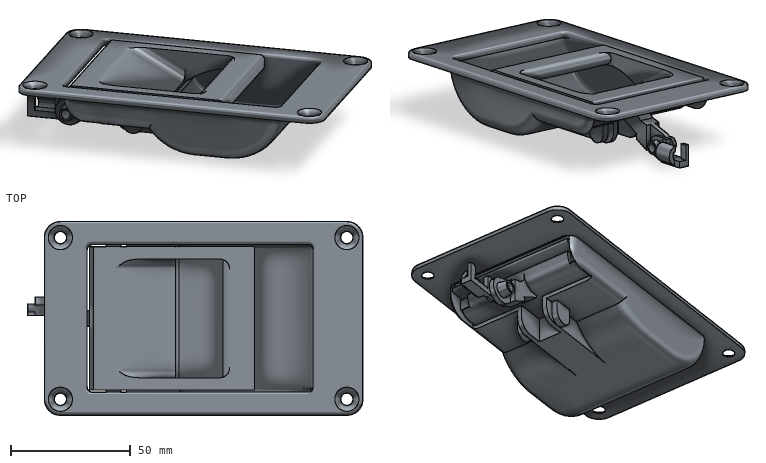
import cadquery as cq
import math


FLANGE_LENGTH = 133.2
FLANGE_WIDTH = 81.0
FLANGE_THICKNESS = 2.5
FLANGE_CORNER = 6.7
FLANGE_EDGE_ROUND = 1.3
SCREW_HOLE_RADIUS = 2.5
COUNTERSINK_RADIUS = SCREW_HOLE_RADIUS + FLANGE_THICKNESS
MOUTH_CORNER = 2.2

WALL = 2.0
PAN_LEFT = -48.7
PAN_HALF_WIDTH = 32.8
PAN_EDGE_ROUND = 4.9
CAVITY_EDGE_ROUND = 1.7
SHALLOW_DEPTH = 16.0
SHALLOW_CORNER = 10.0
DEEP_DEPTH = 25.7
DEEP_RADIUS = 25.0
DEEP_FLAT_START = 8.4
DEEP_FLAT_END = 22.7
CAVITY_HALF_WIDTH = PAN_HALF_WIDTH - WALL
CAVITY_RIGHT = DEEP_FLAT_END + DEEP_RADIUS - WALL
FLOOR_START = -32.3

BLOCK_HALF_WIDTH = 7.6
BLOCK_CORNER = 5.9
EAR_THICKNESS = 2.8
EAR_RADIUS = 4.3
EAR_CENTRE = -24.3
LEVER_SLOT_HALF_WIDTH = 5.5
LEVER_SLOT_END = EAR_CENTRE + EAR_RADIUS

TAB_LEFT = -40.8
TAB_RIGHT = -34.6
TAB_BOTTOM = -10.5
TAB_INNER = 26.6
TAB_CLEARANCE = 0.5

HANDLE_LEFT = -47.8
HANDLE_RIGHT = 21.3
HANDLE_HALF_WIDTH = 30.0
HANDLE_THICKNESS = 5.5
LIP_TOP = -3.8
LIP_LENGTH = 0.7
LIP_LOWER_ROUND = 1.1
GROOVE_RADIUS = 1.0
SHOULDER_RADIUS = 1.3
NOSE_RADIUS = HANDLE_THICKNESS / 2
HANDLE_EDGE_ROUND = 2.1
BELLY_LEFT = -42.4
BELLY_BOTTOM = -13.6
BELLY_RADIUS = 6.5
GRIP_HALF_WIDTH = 24.8
GRIP_LEFT = -35.3
GRIP_NOSE = 8.1
GRIP_CORNER = 4.2
RAMP_END = -11.8
RAMP_ANGLE = 28.0
RAMP_OVERRUN = 14.0
RAMP_SIDE_ROUND = 3.9
RAMP_LIP_RADIUS = 6.2

LEVER_HALF_WIDTH = 3.4
EYE_HALF_WIDTH = 1.1
EYE_RADIUS = 5.9
EYE_X = -54.8
EYE_Z = -22.2
LEVER_STEP = -48.8
LEVER_STEP_TOP = -14.0
LEVER_STEP_BOTTOM = -25.0
ARM_BEND_X = -44.9
ARM_BEND_Z = -12.9
RISER_FOOT = -10.7
HEEL_X = -42.1
HEEL_BOTTOM = -21.5
HEEL_TOP = -19.1
RISER_RIGHT = -33.7
RISER_BOTTOM = -14.6

CLIP_LEFT = -73.6
CLIP_HALF_HEIGHT = 4.6
CLIP_THICKNESS = 2.2
CLIP_POST = 3.2
CLIP_THIN = 1.5
CLIP_NOTCH_RIGHT = -61.5
CLIP_STEP_X = -59.6
CLIP_FOOT_TOP = -24.0
CLIP_FOOT_BACK = 6.0
HOOK_CENTRE_Y = 4.8
HOOK_RADIUS = 4.2
HOOK_MOUTH_Y = 5.6
ROD_SEAT_RADIUS = 2.1
PIN_SHANK_RADIUS = 2.8
PIN_HEAD_RADIUS = 3.5
PIN_END = 5.5
PIN_BORE_RADIUS = 2.0


def box(x_range, y_range, z_range):
    """A block between the given limits."""
    size = [high - low for low, high in (x_range, y_range, z_range)]
    low_corner = (x_range[0], y_range[0], z_range[0])
    return cq.Workplane("XY").box(*size, centered=False).translate(low_corner)


def y_slab(profile, y_low, y_high):
    """Extrude a closed XZ profile between two Y positions."""
    return profile.extrude(y_low - y_high).translate((0, y_low, 0))


def y_cylinder(radius, x, z, y_low, y_high):
    """A cylinder along Y."""
    return y_slab(cq.Workplane("XZ").center(x, z).circle(radius), y_low, y_high)


def pan_shape(inset, edge_round):
    """The pan's outer shape, or its cavity when inset by the wall thickness."""
    left = PAN_LEFT + inset
    floor = inset - SHALLOW_DEPTH
    bottom = inset - DEEP_DEPTH
    half_width = PAN_HALF_WIDTH - inset
    corner_radius = SHALLOW_CORNER - inset
    deep_radius = DEEP_RADIUS - inset
    arc_height = bottom + deep_radius
    ramp_top = DEEP_FLAT_START - math.sqrt(deep_radius**2 - (arc_height - floor) ** 2)
    wall_top = DEEP_FLAT_END + math.sqrt(deep_radius**2 - (arc_height + FLANGE_THICKNESS) ** 2)
    profile = (
        cq.Workplane("XZ")
        .moveTo(left, -FLANGE_THICKNESS)
        .lineTo(left, floor + corner_radius)
        .radiusArc((left + corner_radius, floor), -corner_radius)
        .lineTo(ramp_top, floor)
        .radiusArc((DEEP_FLAT_START, bottom), -deep_radius)
        .lineTo(DEEP_FLAT_END, bottom)
        .radiusArc((wall_top, -FLANGE_THICKNESS), -deep_radius)
        .close()
    )
    solid = y_slab(profile, -half_width, half_width)
    top_edges = solid.faces(">Z").edges().vals()
    side_edges = [
        edge
        for edge in solid.faces("<Y or >Y").edges().vals()
        if not any(edge.isSame(top_edge) for top_edge in top_edges)
    ]
    return solid.newObject(side_edges).fillet(edge_round)


def flange():
    """The flange plate and its mouth, both rounded along their top edges."""
    mouth_length = CAVITY_RIGHT - PAN_LEFT
    mouth = (
        cq.Workplane("XY")
        .center(PAN_LEFT + mouth_length / 2, 0)
        .rect(mouth_length, 2 * CAVITY_HALF_WIDTH)
        .extrude(-FLANGE_THICKNESS)
        .edges("|Z")
        .fillet(MOUTH_CORNER)
    )
    plate = (
        cq.Workplane("XY")
        .rect(FLANGE_LENGTH, FLANGE_WIDTH)
        .extrude(-FLANGE_THICKNESS)
        .edges("|Z")
        .fillet(FLANGE_CORNER)
    )
    return plate.cut(mouth).faces(">Z").edges().fillet(FLANGE_EDGE_ROUND)


def screw_holes():
    """Countersunk screw holes, concentric with the flange corners."""
    spacing_x = FLANGE_LENGTH - 2 * FLANGE_CORNER
    spacing_y = FLANGE_WIDTH - 2 * FLANGE_CORNER
    cone = cq.Solid.makeCone(SCREW_HOLE_RADIUS, COUNTERSINK_RADIUS, FLANGE_THICKNESS)
    return (
        cq.Workplane("XY", origin=(0, 0, -FLANGE_THICKNESS))
        .rect(spacing_x, spacing_y, forConstruction=True)
        .vertices()
        .eachpoint(lambda place: cone.moved(place), combine=False)
        .combine()
    )


def lever_block():
    """The block under the floor, with a U-shaped ear on each side of it."""
    block = box(
        (FLOOR_START, DEEP_FLAT_START),
        (-BLOCK_HALF_WIDTH, BLOCK_HALF_WIDTH),
        (-DEEP_DEPTH, -SHALLOW_DEPTH),
    )
    block = block.edges("<X and <Z").fillet(BLOCK_CORNER)
    ear_span = (-BLOCK_HALF_WIDTH - EAR_THICKNESS, BLOCK_HALF_WIDTH + EAR_THICKNESS)
    ear_axis_z = EAR_RADIUS - DEEP_DEPTH
    ears = box(
        (EAR_CENTRE - EAR_RADIUS, EAR_CENTRE + EAR_RADIUS), ear_span, (ear_axis_z, -SHALLOW_DEPTH)
    )
    ear_ends = y_cylinder(EAR_RADIUS, EAR_CENTRE, ear_axis_z, *ear_span)
    return block.union(ears).union(ear_ends)


def stop_tabs():
    """A tab on each side wall of the cavity."""
    tab = box((TAB_LEFT, TAB_RIGHT), (TAB_INNER, CAVITY_HALF_WIDTH), (TAB_BOTTOM, -HANDLE_THICKNESS))
    return tab.union(tab.mirror("XZ"))


def make_housing():
    """Flange and pan as one shell, open at the lever end."""
    lever_opening = box(
        (PAN_LEFT, FLOOR_START),
        (-CAVITY_HALF_WIDTH, CAVITY_HALF_WIDTH),
        (-SHALLOW_DEPTH, -FLANGE_THICKNESS),
    )
    lever_slot = box(
        (FLOOR_START, LEVER_SLOT_END),
        (-LEVER_SLOT_HALF_WIDTH, LEVER_SLOT_HALF_WIDTH),
        (-DEEP_DEPTH, WALL - SHALLOW_DEPTH),
    )
    return (
        flange()
        .cut(screw_holes())
        .union(pan_shape(0, PAN_EDGE_ROUND))
        .union(lever_block())
        .cut(pan_shape(WALL, CAVITY_EDGE_ROUND))
        .cut(lever_opening)
        .cut(lever_slot)
        .union(stop_tabs())
    )


def handle_plate():
    """The flat top of the handle, with a hollow and a lip along its left end."""
    lip_end = HANDLE_LEFT + LIP_LENGTH
    shoulder = lip_end + GROOVE_RADIUS
    profile = (
        cq.Workplane("XZ")
        .moveTo(HANDLE_LEFT, LIP_TOP)
        .lineTo(lip_end, LIP_TOP)
        .radiusArc((shoulder, LIP_TOP + GROOVE_RADIUS), -GROOVE_RADIUS)
        .lineTo(shoulder, -SHOULDER_RADIUS)
        .radiusArc((shoulder + SHOULDER_RADIUS, 0), SHOULDER_RADIUS)
        .lineTo(HANDLE_RIGHT, 0)
        .lineTo(HANDLE_RIGHT, -HANDLE_THICKNESS)
        .lineTo(HANDLE_LEFT + LIP_LOWER_ROUND, -HANDLE_THICKNESS)
        .radiusArc((HANDLE_LEFT, LIP_LOWER_ROUND - HANDLE_THICKNESS), LIP_LOWER_ROUND)
        .close()
    )
    plate = y_slab(profile, -HANDLE_HALF_WIDTH, HANDLE_HALF_WIDTH)
    return plate.edges(">X and >Z").fillet(HANDLE_EDGE_ROUND)


def handle_belly():
    """The body under the plate: it carries the ramp, then sweeps up to the nose."""
    tail_end = GRIP_NOSE + NOSE_RADIUS
    tail_length = tail_end - RAMP_END
    tail_rise = -HANDLE_THICKNESS - BELLY_BOTTOM
    tail_radius = (tail_length**2 + tail_rise**2) / (2 * tail_rise)
    profile = (
        cq.Workplane("XZ")
        .moveTo(BELLY_LEFT, -HANDLE_THICKNESS)
        .lineTo(BELLY_LEFT, BELLY_BOTTOM + BELLY_RADIUS)
        .radiusArc((BELLY_LEFT + BELLY_RADIUS, BELLY_BOTTOM), -BELLY_RADIUS)
        .lineTo(RAMP_END, BELLY_BOTTOM)
        .radiusArc((tail_end, -HANDLE_THICKNESS), tail_radius)
        .close()
    )
    notch = box(
        (BELLY_LEFT, TAB_RIGHT + TAB_CLEARANCE),
        (TAB_INNER - TAB_CLEARANCE, HANDLE_HALF_WIDTH),
        (TAB_BOTTOM - TAB_CLEARANCE, -HANDLE_THICKNESS),
    )
    belly = y_slab(profile, -HANDLE_HALF_WIDTH, HANDLE_HALF_WIDTH)
    return belly.cut(notch).cut(notch.mirror("XZ"))


def ramp_recess():
    """The space above the ramp, with rounds where the ramp meets the side walls."""
    angle = math.radians(RAMP_ANGLE)
    lip_tangent = RAMP_LIP_RADIUS * math.tan(angle / 2)
    lip_start = GRIP_LEFT - lip_tangent
    lip_end = (GRIP_LEFT + lip_tangent * math.cos(angle), -lip_tangent * math.sin(angle))
    ramp_end_z = (GRIP_LEFT - RAMP_END) * math.tan(angle)
    profile = (
        cq.Workplane("XZ")
        .moveTo(lip_start - RAMP_OVERRUN, 0)
        .lineTo(lip_start, 0)
        .radiusArc(lip_end, RAMP_LIP_RADIUS)
        .lineTo(RAMP_END, ramp_end_z)
        .lineTo(RAMP_END, RAMP_OVERRUN)
        .lineTo(lip_start - RAMP_OVERRUN, RAMP_OVERRUN)
        .close()
    )
    recess = y_slab(profile, -GRIP_HALF_WIDTH, GRIP_HALF_WIDTH)
    for side in (-GRIP_HALF_WIDTH, GRIP_HALF_WIDTH):
        ramp_middle = ((GRIP_LEFT + RAMP_END) / 2, side, ramp_end_z / 2)
        ramp_side = recess.edges(cq.selectors.NearestToPointSelector(ramp_middle))
        recess = ramp_side.fillet(RAMP_SIDE_ROUND)
    return recess


def grip_opening():
    """The opening to the right of the ramp, ending at a half-round nose."""
    nose_base = GRIP_NOSE + NOSE_RADIUS
    profile = (
        cq.Workplane("XZ")
        .moveTo(RAMP_END, 0)
        .lineTo(nose_base, 0)
        .threePointArc((GRIP_NOSE, -NOSE_RADIUS), (nose_base, -HANDLE_THICKNESS))
        .lineTo(nose_base, BELLY_BOTTOM)
        .lineTo(RAMP_END, BELLY_BOTTOM)
        .close()
    )
    outline = box((RAMP_END, nose_base), (-GRIP_HALF_WIDTH, GRIP_HALF_WIDTH), (BELLY_BOTTOM, 0))
    outline = outline.edges(">X and |Z").fillet(GRIP_CORNER)
    return y_slab(profile, -GRIP_HALF_WIDTH, GRIP_HALF_WIDTH).intersect(outline)


def eye_tangent_point(x, z, side):
    """Where the line from (x, z) touches the lever's eye: side is 1 above the eye, -1 below."""
    distance = math.hypot(x - EYE_X, z - EYE_Z)
    angle = math.atan2(z - EYE_Z, x - EYE_X) + side * math.acos(EYE_RADIUS / distance)
    return EYE_X + EYE_RADIUS * math.cos(angle), EYE_Z + EYE_RADIUS * math.sin(angle)


def lever():
    """The arm that leaves the belly, thinned down to a flat eye for the rod clip."""
    arm_profile = cq.Workplane("XZ").polyline(
        [
            (LEVER_STEP, LEVER_STEP_TOP),
            (ARM_BEND_X, ARM_BEND_Z),
            (BELLY_LEFT, RISER_FOOT),
            (BELLY_LEFT, -HANDLE_THICKNESS),
            (RISER_RIGHT, -HANDLE_THICKNESS),
            (RISER_RIGHT, RISER_BOTTOM),
            (HEEL_X, HEEL_TOP),
            (HEEL_X, HEEL_BOTTOM),
            (LEVER_STEP, LEVER_STEP_BOTTOM),
        ]
    ).close()
    eye_profile = cq.Workplane("XZ").polyline(
        [
            (LEVER_STEP, LEVER_STEP_TOP),
            (LEVER_STEP, LEVER_STEP_BOTTOM),
            eye_tangent_point(LEVER_STEP, LEVER_STEP_BOTTOM, -1),
            eye_tangent_point(LEVER_STEP, LEVER_STEP_TOP, 1),
        ]
    ).close()
    eye_span = (-EYE_HALF_WIDTH, EYE_HALF_WIDTH)
    return (
        y_slab(arm_profile, -LEVER_HALF_WIDTH, LEVER_HALF_WIDTH)
        .union(y_slab(eye_profile, *eye_span))
        .union(y_cylinder(EYE_RADIUS, EYE_X, EYE_Z, *eye_span))
        .cut(y_cylinder(PIN_SHANK_RADIUS, EYE_X, EYE_Z, *eye_span))
    )


def make_handle():
    """Plate, belly and lever as one piece, with the finger opening cut out."""
    paddle = handle_plate().union(handle_belly())
    return paddle.cut(ramp_recess()).cut(grip_opening()).union(lever())


def clip_plate():
    """The notched plate beside the eye, with a foot along its lower edge."""
    back = EYE_HALF_WIDTH + CLIP_THICKNESS
    thin_back = EYE_HALF_WIDTH + CLIP_THIN
    bottom = EYE_Z - CLIP_HALF_HEIGHT
    top = EYE_Z + CLIP_HALF_HEIGHT
    post_right = CLIP_LEFT + CLIP_POST
    plate = box((CLIP_LEFT, CLIP_STEP_X), (EYE_HALF_WIDTH, back), (bottom, top))
    thin_plate = box((CLIP_STEP_X, EYE_X), (EYE_HALF_WIDTH, thin_back), (bottom, top))
    round_end = y_cylinder(CLIP_HALF_HEIGHT, EYE_X, EYE_Z, EYE_HALF_WIDTH, thin_back)
    foot = box(
        (CLIP_LEFT, CLIP_NOTCH_RIGHT), (EYE_HALF_WIDTH, CLIP_FOOT_BACK), (bottom, CLIP_FOOT_TOP)
    )
    notch = box((post_right, CLIP_NOTCH_RIGHT), (EYE_HALF_WIDTH, back), (CLIP_FOOT_TOP, top))
    post_relief = box((CLIP_LEFT, post_right), (thin_back, back), (CLIP_FOOT_TOP, top))
    return plate.union(thin_plate).union(round_end).cut(notch).cut(post_relief).union(foot)


def rod_hook():
    """The hook that curls round the rod, beside the notch."""
    length = CLIP_NOTCH_RIGHT - CLIP_LEFT - CLIP_POST
    ring = (
        cq.Workplane("YZ", origin=(CLIP_LEFT + CLIP_POST, HOOK_CENTRE_Y, EYE_Z))
        .circle(HOOK_RADIUS)
        .circle(ROD_SEAT_RADIUS)
        .extrude(length)
    )
    hook_space = box(
        (CLIP_LEFT, EYE_X),
        (HOOK_MOUTH_Y, HOOK_CENTRE_Y + HOOK_RADIUS),
        (EYE_Z - HOOK_RADIUS, EYE_Z + HOOK_RADIUS),
    )
    return ring.intersect(hook_space)


def snap_pin():
    """The hollow pin through the eye, with a tapered head in front."""
    head = (
        cq.Workplane("XZ", origin=(EYE_X, -EYE_HALF_WIDTH, EYE_Z))
        .circle(PIN_HEAD_RADIUS)
        .workplane(offset=PIN_END - EYE_HALF_WIDTH)
        .circle(PIN_SHANK_RADIUS)
        .loft()
    )
    shank = y_cylinder(PIN_SHANK_RADIUS, EYE_X, EYE_Z, -EYE_HALF_WIDTH, PIN_END)
    return head.union(shank)


def make_rod_clip():
    """Plate, hook and pin as one piece, bored through along the pin."""
    bore = y_cylinder(PIN_BORE_RADIUS, EYE_X, EYE_Z, -PIN_END, PIN_END)
    return clip_plate().union(rod_hook()).union(snap_pin()).cut(bore)


housing = make_housing()
handle = make_handle()
rod_clip = make_rod_clip()

bodies = [housing, handle, rod_clip]
result = cq.Compound.makeCompound([solid for body in bodies for solid in body.solids().vals()])